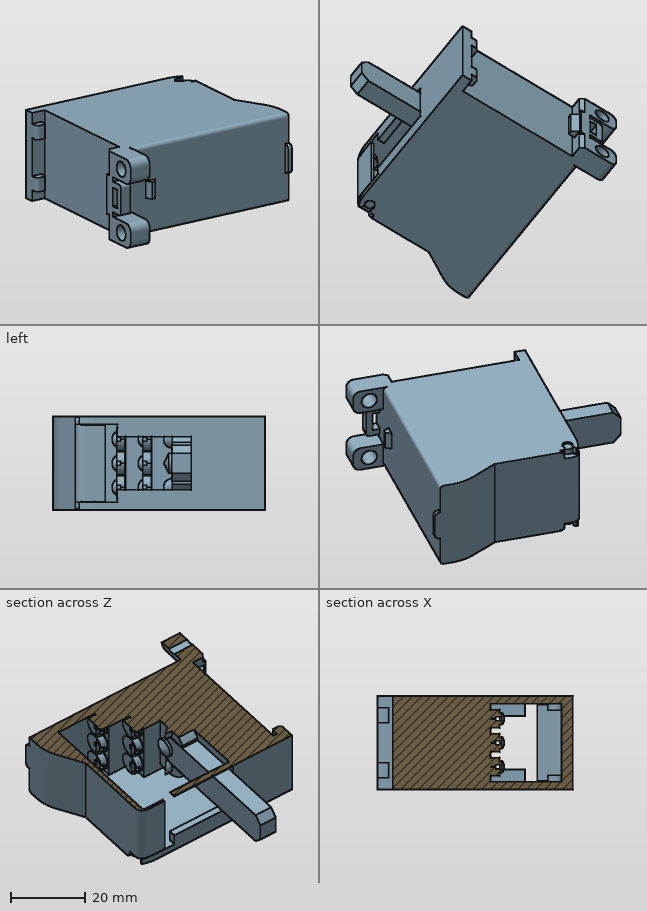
import cadquery as cq
import math


half_height = 12.6
body_depth = 41.95
floor_y = 4.1
shoulder_y = 51.15
crest_y = 57.2
front_corner_radius = 2.6
ramp_start_x = 24.6
ramp_angle = 30
crest_radius = 12.55
back_edge_radius = 1.1

side_wall = 2.15
front_wall = 2.0
cavity_half_height = half_height - side_wall
cavity_bottom_y = 19.9
cavity_top_y = 49.6
cavity_back_x = 38.75
slot_half_height = 7.2
slot_top_y = 39.8
door_bottom_y = 43.1
door_thickness = 0.85
door_gap = 0.15

pin_x = 3.1
pin_y = 48.0
pin_radius = 1.4
pin_recess = 0.55
knuckle_radius = 2.1
knuckle_length = 1.7
hinge_ledge_y = 50.1
hinge_neck_half_width = 1.2
hinge_ledge_x = 4.9
hinge_end_x = 5.85
stop_height = 1.95
stop_radius = 0.9

foot_width = 3.0
catch_y = 3.1
hook_tip_x = 5.2
hook_inner_z = 5.45
hook_outer_z = 9.5
hook_top_radius = 0.6
hook_bottom_radius = 1.1
lug_x = 38.95
lug_end_x = 50.5
lug_depth = 6.2
lug_inner_z = 5.65
lug_radius = 2.15
lug_hole_x = 45.9
lug_hole_radius = 2.15
lug_bevel_x = 1.2
lug_bevel_y = 0.85
latch_half_height = 4.4
latch_tip_x = 37.0
latch_tip_y = 2.0
tab_end_x = 45.85
tab_radius = 0.85
window_end_x = 44.0
window_half_height = 2.65

catch_out = 1.5
lip_depth = 1.25
lip_half_height = 4.2
lip_radius = 1.4
bump_low_y = 10.65
bump_high_y = 13.7
bump_slope = 1.05
bump_half_height = 2.45

handle_tip_x = -19.2
handle_bottom_y = cavity_bottom_y
handle_top_y = 25.15
handle_half_height = 4.8
handle_chamfer = 2.15
hub_x = 23.0
hub_radius = 9.05
hub_top_y = 25.0
hub_flat_half_height = 5.65

terminal_pitch = 6.5
collar_radius = 3.1
collar_height = 2.45
collar_base_height = 0.2
collar_step = 0.15
collar_split_width = 0.1
collar_slot_width = 1.05
collar_slot_depth = 1.05
terminal_pin_radius = 2.4
terminal_pin_rise = 1.25
hub_pin_height = 2.4
point_radius = 2.65
point_base_height = 1.0
point_height = 1.3
terrace_levels = [30.5, 37.6]
terrace_start_x = 25.9


def box(x, y, z):
    """Box between the (low, high) limits on each axis."""
    size = [limits[1] - limits[0] for limits in (x, y, z)]
    return cq.Workplane("XY").box(*size, centered=False).translate((x[0], y[0], z[0]))


def sym_box(x, y, half):
    """Box centred on the mid-plane."""
    return box(x, y, (-half, half))


def slab(outline, z_low, z_high):
    """Closed XY outline extruded between two Z levels."""
    return outline.close().extrude(z_high - z_low).translate((0, 0, z_low))


def upright(x, y, z, radius, height):
    """Cylinder standing on a surface that faces +Y."""
    solid = cq.Solid.makeCylinder(radius, height, cq.Vector(x, y, z), cq.Vector(0, 1, 0))
    return cq.Workplane(obj=solid)


def sliced_pin(x, y, z, height):
    """Pin standing on a surface that faces +Y, its top sliced at 45 degrees and highest at the front."""
    front_x = x - terminal_pin_radius
    slope = slab(
        cq.Workplane("XY").moveTo(front_x, y).lineTo(front_x, y + height).lineTo(front_x + height, y),
        z - terminal_pin_radius,
        z + terminal_pin_radius,
    )
    return slope.intersect(upright(x, y, z, terminal_pin_radius, height))


def both_sides(solid):
    """The solid together with its mirror image across the mid-plane."""
    return solid.union(solid.mirror("XY"))


def make_shell():
    angle = math.radians(ramp_angle)
    corner_x = ramp_start_x + (crest_y - shoulder_y) / math.tan(angle)
    tangent = crest_radius * math.tan(angle / 2)
    arc_start = (corner_x - tangent * math.cos(angle), crest_y - tangent * math.sin(angle))
    arc_end = (corner_x + tangent, crest_y)
    outline = (
        cq.Workplane("XY")
        .moveTo(0, 0)
        .lineTo(foot_width, 0)
        .lineTo(foot_width, floor_y)
        .lineTo(body_depth, floor_y)
        .lineTo(body_depth, crest_y)
        .lineTo(*arc_end)
        .radiusArc(arc_start, -crest_radius)
        .lineTo(ramp_start_x, shoulder_y)
        .lineTo(front_corner_radius, shoulder_y)
        .radiusArc((0, shoulder_y - front_corner_radius), -front_corner_radius)
    )
    shell = slab(outline, -half_height, half_height)
    shell = shell.faces(">X").edges("|Y").fillet(back_edge_radius)
    cavity = sym_box((front_wall, cavity_back_x), (cavity_bottom_y, cavity_top_y), cavity_half_height)
    narrow_slot = sym_box((0, front_wall), (cavity_bottom_y, slot_top_y), slot_half_height)
    wide_slot = sym_box((0, front_wall), (slot_top_y, cavity_top_y), cavity_half_height)
    return shell.cut(cavity).cut(narrow_slot).cut(wide_slot)


def make_door():
    """Thin door across the wide part of the opening, rounded with the body corner."""
    outer = front_corner_radius
    inner = outer - door_thickness
    outline = (
        cq.Workplane("XY")
        .moveTo(0, door_bottom_y)
        .lineTo(door_thickness, door_bottom_y)
        .lineTo(door_thickness, shoulder_y - outer)
        .radiusArc((outer, shoulder_y - door_thickness), inner)
        .lineTo(outer, shoulder_y)
        .radiusArc((0, shoulder_y - outer), -outer)
    )
    half = cavity_half_height - door_gap
    return slab(outline, -half, half)


def make_hinge_recess():
    """Opening in a side wall around the hinge, leaving a rounded horn at the front."""
    horn_start_y = 46.1
    horn_side = (0.2, 48.1)
    horn_top = (0.8, hinge_ledge_y)
    horn_end_x = 1.3
    neck_bulge = 0.2
    clearance = 0.7
    top = shoulder_y + clearance
    neck_y = pin_y + math.sqrt(pin_radius**2 - hinge_neck_half_width**2)
    neck_mid_y = (hinge_ledge_y + neck_y) / 2
    left_neck_x = pin_x - hinge_neck_half_width
    right_neck_x = pin_x + hinge_neck_half_width
    left_bulge = ((horn_end_x + left_neck_x) / 2 + neck_bulge, neck_mid_y)
    right_bulge = ((right_neck_x + hinge_ledge_x) / 2 - neck_bulge, neck_mid_y)
    outline = (
        cq.Workplane("XY")
        .moveTo(-clearance, horn_start_y)
        .lineTo(0, horn_start_y)
        .threePointArc(horn_side, horn_top)
        .lineTo(horn_end_x, hinge_ledge_y)
        .threePointArc(left_bulge, (left_neck_x, neck_y))
        .lineTo(right_neck_x, neck_y)
        .threePointArc(right_bulge, (hinge_ledge_x, hinge_ledge_y))
        .lineTo(hinge_end_x, hinge_ledge_y)
        .lineTo(hinge_end_x, top)
        .lineTo(-clearance, top)
    )
    recess = slab(outline, cavity_half_height, half_height)
    pin_top = half_height - pin_recess
    pin_hole = cq.Workplane("XY", origin=(pin_x, pin_y, pin_top)).circle(pin_radius).extrude(pin_recess)
    pin = cq.Workplane("XY", origin=(pin_x, pin_y, 0)).circle(pin_radius).extrude(pin_top)
    return both_sides(recess.cut(pin).union(pin_hole))


def make_knuckles():
    """Hinge knuckles around the pin at both ends of the door."""
    start_z = cavity_half_height - knuckle_length
    knuckle = cq.Workplane("XY", origin=(pin_x, pin_y, start_z)).circle(knuckle_radius).extrude(knuckle_length)
    return both_sides(knuckle)


def make_hinge_stops():
    """Round-topped stop in the end corner of each hinge recess."""
    stop = box(
        (hinge_ledge_x, hinge_end_x),
        (hinge_ledge_y, shoulder_y),
        (cavity_half_height, cavity_half_height + stop_height),
    )
    return both_sides(stop.edges("<X and >Z").fillet(stop_radius))


def make_hooks():
    hook = box((0, hook_tip_x), (0, catch_y), (hook_inner_z, hook_outer_z))
    hook = hook.edges(">X and >Y").fillet(hook_top_radius)
    hook = hook.edges(">X and <Y").fillet(hook_bottom_radius)
    return both_sides(hook)


def make_lugs():
    lug = box((lug_x, lug_end_x), (0, lug_depth), (lug_inner_z, half_height))
    lug = lug.faces(">X").edges("|Y").fillet(lug_radius)
    hole = upright(lug_hole_x, 0, (lug_inner_z + half_height) / 2, lug_hole_radius, lug_depth)
    bevel = slab(
        cq.Workplane("XY").moveTo(lug_x, 0).lineTo(lug_x + lug_bevel_x, 0).lineTo(lug_x, lug_bevel_y),
        lug_inner_z,
        half_height,
    )
    lugs = both_sides(lug.cut(hole).cut(bevel))
    return lugs.union(sym_box((lug_x, body_depth), (0, lug_depth), lug_inner_z))


def make_latch():
    """Wedge that grips the rail, and the windowed pull tab on the far side."""
    slope = lug_bevel_y / lug_bevel_x
    wedge = slab(
        cq.Workplane("XY")
        .moveTo(latch_tip_x, catch_y)
        .lineTo(latch_tip_x, latch_tip_y)
        .lineTo(lug_x, latch_tip_y - slope * (lug_x - latch_tip_x))
        .lineTo(lug_x, catch_y),
        -latch_half_height,
        latch_half_height,
    )
    tab = sym_box((body_depth, tab_end_x), (0, catch_y), latch_half_height)
    tab = tab.faces(">X").edges("|Y").fillet(tab_radius)
    window = sym_box((body_depth, window_end_x), (0, catch_y), window_half_height)
    return wedge.union(tab.cut(window))


def make_back_catches():
    """Lip along the crest and the snap bump low on the back face."""
    end_x = body_depth + catch_out
    lip = sym_box((body_depth, end_x), (crest_y - lip_depth, crest_y), lip_half_height)
    lip = lip.faces(">X").edges("|Y").fillet(lip_radius)
    bump = slab(
        cq.Workplane("XY")
        .moveTo(body_depth, bump_low_y)
        .lineTo(end_x, bump_low_y + bump_slope)
        .lineTo(end_x, bump_high_y - bump_slope)
        .lineTo(body_depth, bump_high_y),
        -bump_half_height,
        bump_half_height,
    )
    return lip.union(bump)


def make_handle():
    """Bar with a chamfered tip, running into a round hub with a flat front."""
    bar = sym_box((handle_tip_x, hub_x), (handle_bottom_y, handle_top_y), handle_half_height)
    bar = bar.faces("<X").edges("|Y").chamfer(handle_chamfer)
    hub = upright(hub_x, cavity_bottom_y, 0, hub_radius, hub_top_y - cavity_bottom_y)
    flat_x = hub_x - math.sqrt(hub_radius**2 - hub_flat_half_height**2)
    flat = sym_box((hub_x - hub_radius, flat_x), (cavity_bottom_y, hub_top_y), hub_radius)
    return hub.cut(flat).union(bar)


def make_hub_pins():
    """Two sliced pins and a central point standing on the hub."""
    side_pin = sliced_pin(hub_x, hub_top_y, terminal_pitch, hub_pin_height)
    base = upright(hub_x, hub_top_y, 0, point_radius, point_base_height)
    cone_y = hub_top_y + point_base_height
    cone = cq.Solid.makeCone(point_radius, 0, point_height, cq.Vector(hub_x, cone_y, 0), cq.Vector(0, 1, 0))
    return both_sides(side_pin).union(base).union(cq.Workplane(obj=cone))


def make_terminal(x, y, z):
    """Collar on a narrower base, slotted and split at the front, with a sliced pin on top."""
    top = y + collar_height
    base = upright(x, y, z, collar_radius - collar_step, collar_base_height)
    upper_height = collar_height - collar_base_height
    collar = upright(x, y + collar_base_height, z, collar_radius, upper_height)
    front = (x - collar_radius, x)
    half_slot = collar_slot_width / 2
    half_split = collar_split_width / 2
    slot = box(front, (top - collar_slot_depth, top), (z - half_slot, z + half_slot))
    split = box(front, (y + collar_base_height, top), (z - half_split, z + half_split))
    pin = sliced_pin(x, top, z, terminal_pin_rise)
    return collar.union(base).cut(slot).cut(split).union(pin)


def make_terminals():
    """Stepped block filling the rear of the cavity, with three terminals on each step."""
    pitch_x = (cavity_back_x - terrace_start_x) / len(terrace_levels)
    terraces = cq.Workplane("XY")
    terminals = cq.Workplane("XY")
    for row, level in enumerate(terrace_levels):
        start_x = terrace_start_x + row * pitch_x
        block = sym_box((start_x, cavity_back_x), (cavity_bottom_y, level), cavity_half_height)
        terraces = terraces.add(block)
        for column in (-1, 0, 1):
            terminals = terminals.add(make_terminal(start_x + pitch_x / 2, level, column * terminal_pitch))
    return terraces.combine().union(terminals.combine())


result = (
    make_shell()
    .union(make_door())
    .cut(make_hinge_recess())
    .union(make_knuckles())
    .union(make_hinge_stops())
    .union(make_hooks())
    .union(make_lugs())
    .union(make_latch())
    .union(make_back_catches())
    .union(make_terminals())
    .union(make_handle())
    .union(make_hub_pins())
)